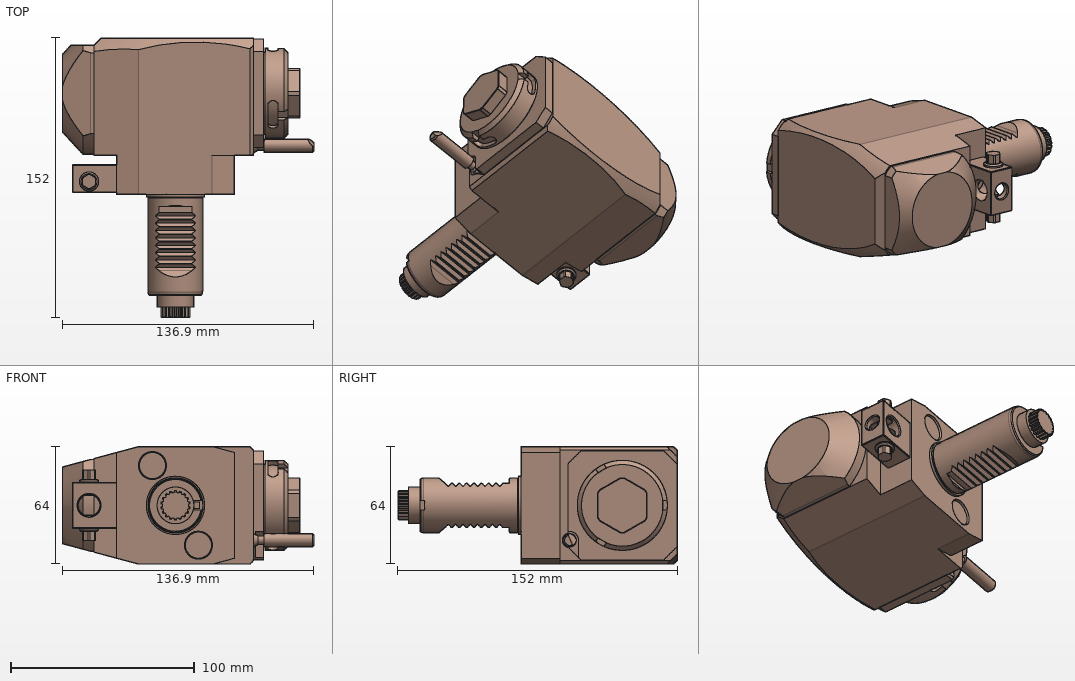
import cadquery as cq
import math


HOUSING_HALF_HEIGHT = 32.0
HOUSING_LEFT = -44.3
HOUSING_RIGHT = 42.4
HOUSING_FRONT = 21.2
HOUSING_BACK = 85.0
FOOT_HALF_WIDTH = 32.0
TAPER_START = 20.0
TAPER_SLOPE = math.tan(math.radians(15))
RIGHT_END_CHAMFER = 1.9
LEFT_BACK_CHAMFER = 3.8
BARREL_CENTER_X = 11.0
BARREL_RADIUS = 42.4
BARREL_CURVATURE_RADIUS = 190.0

PLUG_CIRCLE_RADIUS = 25.0
PLUG_ANGLES = (120, 300)
PLUG_DIAMETER = 15.2
PLUG_RECESS = 1.0
PLUG_RECESS_TAPER = 25

SPINDLE_Y = 55.0
CAP_LEFT = -61.5
CAP_FACE_RADIUS = 21.1
CAP_RADIUS = 33.3
CAP_CONE_END = -50.3
CAP_BACK = 81.2
CAP_STEP = 0.5

PLATE_THICKNESS = 5.5
PLATE_HALF_SIDE = 29.6
PLATE_CORNER_CHAMFER = 7.0
PIN_POCKET_RADIUS = 4.8
PIN_POCKET_WEB = 1.1

COLLAR_RADIUS = 22.4
NUT_START = 48.8
NUT_END = 61.3
NUT_RADIUS = 24.5
NUT_CHAMFER = 2.3
NUT_SLOT_CENTER_X = 53.0
NUT_SLOT_WIDTH = 5.6
NUT_SLOT_LENGTH = 17.4
NUT_SLOT_DEPTH = 2.5
NUT_GROOVE_WIDTH = 5.2
NUT_SLOT_FIRST_ANGLE = 30
NUT_SLOT_COUNT = 3
HEX_FLATS = 27.0
HEX_CORNER_DIAMETER = 30.0
HEX_END = 67.7
HEX_END_CHAMFER = 0.3

PIN_Y = 26.4
PIN_Z = -19.0
PIN_END = 75.38
PIN_RADIUS = 3.6
PIN_NECK_RADIUS = 2.4
PIN_FOOT_RADIUS = 4.0
PIN_NECK_START = 44.8
PIN_NECK_END = 48.2
PIN_TIP_CHAMFER = 0.8
PIN_TIP_BEVEL = 3.2
PIN_BEVEL_ANGLE = 24

BLOCK_LEFT = -56.1
BLOCK_FRONT = 1.0
BLOCK_BACK = 16.2
BLOCK_HALF_HEIGHT = 12.5
BLOCK_EDGE_CHAMFER = 0.4
BLOCK_HOLE_X = -47.0
CROSS_HOLE_RADIUS = 5.9
SIDE_HOLE_RADIUS = 4.3
SIDE_HOLE_END_X = -35.0
HOLE_CHAMFER = 0.6
COOLANT_DRILL_RADIUS = 1.3
COOLANT_DRILL_DEPTH = 2.0
BOLT_Y = 7.0
BOLT_TIP_Z = 5.3
BOLT_TIP_DIAMETER = 8.8
BOLT_TIP_CHAMFER = 0.5
BOLT_FLANGE_DIAMETER = 10.5
BOLT_FLANGE_TOP_DIAMETER = 8.6
BOLT_FLANGE_THICKNESS = 1.7
BOLT_HEX_FLATS = 7.1
BOLT_HEX_CORNER_DIAMETER = 7.7
BOLT_HEAD_TOP_Z = 19.2

SHANK_RADIUS = 15.0
SHANK_LENGTH = 55.0
COLLAR_RING_RADIUS = 15.85
COLLAR_RING_THICKNESS = 1.5
RING_CONE_LENGTH = 0.5
SHANK_LEAD_LENGTH = 1.9
SHANK_LEAD_STEP = 0.3
SHANK_END_CHAMFER = 0.6
NECK_RADIUS = 10.0
NECK_END = 61.3
SPLINE_END = 67.0
SPLINE_TIP_RADIUS = 8.0
SPLINE_ROOT_RADIUS = 7.0
SPLINE_TOOTH_COUNT = 18
SPLINE_TIP_CHAMFER = 0.6
SPLINE_ROOT_SHARE = 0.7
SPLINE_TIP_SHARE = 0.3
KEYWAY_WIDTH = 5.2
KEYWAY_DEPTH = 2.5
KEYWAY_POCKET_WIDTH = 3.6
KEYWAY_POCKET_END_X = 13.2
KEYWAY_POCKET_DEPTH = 2.0

TEETH_FLAT_Z = 12.1
TEETH_START = 6.6
TEETH_LEAD_IN = 0.7
TEETH_PITCH = 4.0
TEETH_COUNT = 8
FIRST_GROOVE = 11.65
GROOVE_DEPTH = 1.8
TEETH_RUN_OUT = 3.4


def extrude_xz(points, front, back):
    """Prism with an X-Z outline between two Y positions."""
    return cq.Workplane("XZ", origin=(0, front, 0)).polyline(points).close().extrude(front - back)


def revolve_about_x(points, y, z):
    """Body turned about an X-parallel axis; points are (x, radius)."""
    return cq.Workplane("XY", origin=(0, y, z)).polyline(points).close().revolve(360, (0, 0), (1, 0))


def box(x_range, y_range, z_range):
    """Rectangular block from (low, high) limits along each axis."""
    ranges = (x_range, y_range, z_range)
    size = [high - low for low, high in ranges]
    corner = [low for low, high in ranges]
    return cq.Workplane("XY").box(*size, centered=False).translate(tuple(corner))


def taper_height(distance):
    """Half height of the housing at a distance from the shank axis beyond the taper start."""
    return HOUSING_HALF_HEIGHT - (distance - TAPER_START) * TAPER_SLOPE


def mirrored_outline(upper_points):
    """Closed outline from its upper half, given from left to right."""
    return upper_points + [(x, -z) for x, z in reversed(upper_points)]


def make_housing():
    main = extrude_xz(
        mirrored_outline([
            (HOUSING_LEFT, taper_height(-HOUSING_LEFT)),
            (-TAPER_START, HOUSING_HALF_HEIGHT),
            (HOUSING_RIGHT - RIGHT_END_CHAMFER, HOUSING_HALF_HEIGHT),
            (HOUSING_RIGHT, HOUSING_HALF_HEIGHT - RIGHT_END_CHAMFER),
        ]),
        HOUSING_FRONT,
        HOUSING_BACK,
    )
    main = main.edges("<X and >Y").chamfer(LEFT_BACK_CHAMFER)
    main = main.intersect(make_barrel())
    foot = extrude_xz(
        mirrored_outline([
            (-FOOT_HALF_WIDTH, taper_height(FOOT_HALF_WIDTH)),
            (-TAPER_START, HOUSING_HALF_HEIGHT),
            (TAPER_START, HOUSING_HALF_HEIGHT),
            (FOOT_HALF_WIDTH, taper_height(FOOT_HALF_WIDTH)),
        ]),
        0,
        HOUSING_FRONT,
    )
    return main.union(foot)


def make_barrel():
    """Barrel about the spindle that rounds the rear half, joined to the unrounded front half."""
    def barrel_radius(x):
        offset = x - BARREL_CENTER_X
        sag = BARREL_CURVATURE_RADIUS - math.sqrt(BARREL_CURVATURE_RADIUS**2 - offset**2)
        return BARREL_RADIUS - sag

    barrel = (
        cq.Workplane("XY", origin=(0, SPINDLE_Y, 0))
        .moveTo(HOUSING_LEFT, 0)
        .lineTo(HOUSING_LEFT, barrel_radius(HOUSING_LEFT))
        .threePointArc((BARREL_CENTER_X, BARREL_RADIUS), (HOUSING_RIGHT, barrel_radius(HOUSING_RIGHT)))
        .lineTo(HOUSING_RIGHT, 0)
        .close()
        .revolve(360, (0, 0), (1, 0))
    )
    front_half = box(
        (HOUSING_LEFT, HOUSING_RIGHT),
        (HOUSING_FRONT, SPINDLE_Y),
        (-HOUSING_HALF_HEIGHT, HOUSING_HALF_HEIGHT),
    )
    return barrel.union(front_half)


def cut_plug_recesses(part):
    for angle in PLUG_ANGLES:
        x = PLUG_CIRCLE_RADIUS * math.cos(math.radians(angle))
        z = PLUG_CIRCLE_RADIUS * math.sin(math.radians(angle))
        recess = (
            cq.Workplane("XZ")
            .center(x, z)
            .circle(PLUG_DIAMETER / 2)
            .extrude(-PLUG_RECESS, taper=PLUG_RECESS_TAPER)
        )
        part = part.cut(recess)
    return part


def make_cap():
    """Turned rear cap, flattened by the tapered sides and the back plane."""
    turned = revolve_about_x(
        [
            (CAP_LEFT, 0),
            (CAP_LEFT, CAP_FACE_RADIUS),
            (CAP_CONE_END, CAP_RADIUS),
            (HOUSING_LEFT, CAP_RADIUS),
            (HOUSING_LEFT, 0),
        ],
        SPINDLE_Y,
        0,
    )
    edge_height = taper_height(-HOUSING_LEFT) - CAP_STEP
    edge_start = HOUSING_LEFT - CAP_STEP / TAPER_SLOPE
    envelope = extrude_xz(
        mirrored_outline([
            (CAP_LEFT, taper_height(-CAP_LEFT)),
            (edge_start, edge_height),
            (HOUSING_LEFT, edge_height),
        ]),
        SPINDLE_Y - CAP_RADIUS,
        CAP_BACK,
    )
    return turned.intersect(envelope)


def make_plate():
    side = 2 * PLATE_HALF_SIDE
    plate = (
        cq.Workplane("YZ", origin=(HOUSING_RIGHT, SPINDLE_Y, 0))
        .rect(side, side)
        .extrude(PLATE_THICKNESS)
        .edges("|X")
        .chamfer(PLATE_CORNER_CHAMFER)
    )
    return plate.cut(make_pin_pocket())


def make_pin_pocket():
    """Round clearance about the pin, open towards -Y and -Z, above a thin web next to the housing."""
    web_face = HOUSING_RIGHT + PIN_POCKET_WEB
    plate_end = HOUSING_RIGHT + PLATE_THICKNESS
    front = SPINDLE_Y - PLATE_HALF_SIDE
    round_part = (
        cq.Workplane("YZ", origin=(web_face, PIN_Y, PIN_Z))
        .circle(PIN_POCKET_RADIUS)
        .extrude(plate_end - web_face)
    )
    lower_part = box(
        (web_face, plate_end),
        (front, PIN_Y + PIN_POCKET_RADIUS),
        (-PLATE_HALF_SIDE, PIN_Z),
    )
    return round_part.union(lower_part)


def make_nut_slot(angle):
    """Rounded slot of even depth in the nut rim with a narrower flat groove running out to the nut face."""
    slot_floor = NUT_RADIUS - NUT_SLOT_DEPTH
    core = revolve_about_x(
        [(HOUSING_RIGHT, 0), (HOUSING_RIGHT, slot_floor), (NUT_END, slot_floor), (NUT_END, 0)],
        SPINDLE_Y,
        0,
    )
    slot_plane = cq.Workplane("XY", origin=(NUT_SLOT_CENTER_X, SPINDLE_Y, 0))
    slot = slot_plane.slot2D(NUT_SLOT_LENGTH, NUT_SLOT_WIDTH, 90).extrude(2 * NUT_RADIUS).cut(core)
    groove_length = NUT_END - NUT_SLOT_CENTER_X
    groove_plane = cq.Workplane("XY", origin=(NUT_SLOT_CENTER_X, SPINDLE_Y, slot_floor))
    groove_outline = groove_plane.center(groove_length / 2, 0).rect(groove_length, NUT_GROOVE_WIDTH)
    groove = groove_outline.extrude(NUT_RADIUS)
    axis_start = (0, SPINDLE_Y, 0)
    axis_end = (1, SPINDLE_Y, 0)
    return slot.union(groove).rotate(axis_start, axis_end, angle)


def make_nut():
    nut = revolve_about_x(
        [
            (HOUSING_RIGHT, 0),
            (HOUSING_RIGHT, COLLAR_RADIUS),
            (NUT_START, COLLAR_RADIUS),
            (NUT_START, NUT_RADIUS),
            (NUT_END - NUT_CHAMFER, NUT_RADIUS),
            (NUT_END, NUT_RADIUS - NUT_CHAMFER),
            (NUT_END, 0),
        ],
        SPINDLE_Y,
        0,
    )
    for index in range(NUT_SLOT_COUNT):
        nut = nut.cut(make_nut_slot(NUT_SLOT_FIRST_ANGLE + index * 360 / NUT_SLOT_COUNT))
    return nut


def hexagon_with_cut_corners(plane, flats, corner_diameter, length):
    """Hexagonal prism whose corners are turned down; one corner pair lies on the plane's local Y."""
    hexagon = plane.transformed(rotate=(0, 0, 90)).polygon(6, flats / math.cos(math.radians(30)))
    return hexagon.extrude(length).intersect(plane.circle(corner_diameter / 2).extrude(length))


def make_spindle_hexagon():
    plane = cq.Workplane("YZ", origin=(NUT_END, SPINDLE_Y, 0))
    hexagon = hexagon_with_cut_corners(plane, HEX_FLATS, HEX_CORNER_DIAMETER, HEX_END - NUT_END)
    return hexagon.faces(">X").chamfer(HEX_END_CHAMFER)


def make_pin():
    pin = revolve_about_x(
        [
            (HOUSING_RIGHT, 0),
            (HOUSING_RIGHT, PIN_FOOT_RADIUS),
            (PIN_NECK_START, PIN_NECK_RADIUS),
            (PIN_NECK_END, PIN_NECK_RADIUS),
            (PIN_NECK_END, PIN_RADIUS),
            (PIN_END - PIN_TIP_CHAMFER, PIN_RADIUS),
            (PIN_END, PIN_RADIUS - PIN_TIP_CHAMFER),
            (PIN_END, 0),
        ],
        PIN_Y,
        PIN_Z,
    )
    back = PIN_Y + PIN_RADIUS
    bevel = (
        cq.Workplane("XY", origin=(0, 0, PIN_Z - PIN_RADIUS))
        .polyline([(PIN_END - PIN_TIP_BEVEL, back), (PIN_END, back - PIN_TIP_BEVEL), (PIN_END, back)])
        .close()
        .extrude(2 * PIN_RADIUS)
        .rotate((0, PIN_Y, PIN_Z), (1, PIN_Y, PIN_Z), PIN_BEVEL_ANGLE)
    )
    return pin.cut(bevel)


def make_coolant_block():
    middle_y = (BLOCK_FRONT + BLOCK_BACK) / 2
    block = box(
        (BLOCK_LEFT, -FOOT_HALF_WIDTH),
        (BLOCK_FRONT, BLOCK_BACK),
        (-BLOCK_HALF_HEIGHT, BLOCK_HALF_HEIGHT),
    )
    block = block.edges("|X or <X").chamfer(BLOCK_EDGE_CHAMFER)
    cross_hole = (
        cq.Workplane("XZ", origin=(BLOCK_HOLE_X, BLOCK_BACK, 0))
        .circle(CROSS_HOLE_RADIUS)
        .extrude(BLOCK_BACK - BLOCK_FRONT)
    )
    cross_chamfer = (
        cq.Workplane("XZ", origin=(BLOCK_HOLE_X, BLOCK_FRONT, 0))
        .circle(CROSS_HOLE_RADIUS + HOLE_CHAMFER)
        .extrude(-HOLE_CHAMFER, taper=45)
    )
    drill_end = SIDE_HOLE_END_X + COOLANT_DRILL_DEPTH
    side_hole = revolve_about_x(
        [
            (BLOCK_LEFT, 0),
            (BLOCK_LEFT, SIDE_HOLE_RADIUS + HOLE_CHAMFER),
            (BLOCK_LEFT + HOLE_CHAMFER, SIDE_HOLE_RADIUS),
            (SIDE_HOLE_END_X, SIDE_HOLE_RADIUS),
            (SIDE_HOLE_END_X, COOLANT_DRILL_RADIUS),
            (drill_end, COOLANT_DRILL_RADIUS),
            (drill_end, 0),
        ],
        middle_y,
        0,
    )
    block = block.cut(cross_hole).cut(cross_chamfer).cut(side_hole)
    upper_bolt = make_bolt()
    return block.union(upper_bolt).union(upper_bolt.mirror("XY"))


def make_bolt():
    """Upper flanged bolt, with its tip reaching into the cross hole."""
    seat = cq.Workplane("XY", origin=(BLOCK_HOLE_X, BOLT_Y, BLOCK_HALF_HEIGHT))
    straight_height = BOLT_FLANGE_THICKNESS / 2
    flange = (
        seat.circle(BOLT_FLANGE_DIAMETER / 2)
        .extrude(straight_height)
        .faces(">Z")
        .workplane()
        .circle(BOLT_FLANGE_DIAMETER / 2)
        .workplane(offset=BOLT_FLANGE_THICKNESS - straight_height)
        .circle(BOLT_FLANGE_TOP_DIAMETER / 2)
        .loft()
    )
    head_height = BOLT_HEAD_TOP_Z - BLOCK_HALF_HEIGHT
    head = hexagon_with_cut_corners(seat, BOLT_HEX_FLATS, BOLT_HEX_CORNER_DIAMETER, head_height)
    tip = (
        cq.Workplane("XY", origin=(BLOCK_HOLE_X, BOLT_Y, BOLT_TIP_Z))
        .circle(BOLT_TIP_DIAMETER / 2)
        .extrude(BLOCK_HALF_HEIGHT - BOLT_TIP_Z)
        .faces("<Z")
        .chamfer(BOLT_TIP_CHAMFER)
    )
    return flange.union(head).union(tip)


def make_shank():
    lead_end_radius = SHANK_RADIUS - SHANK_LEAD_STEP
    profile = [
        (0, 0),
        (COLLAR_RING_RADIUS, 0),
        (COLLAR_RING_RADIUS, -COLLAR_RING_THICKNESS),
        (SHANK_RADIUS - RING_CONE_LENGTH / 2, -COLLAR_RING_THICKNESS),
        (SHANK_RADIUS, -COLLAR_RING_THICKNESS - RING_CONE_LENGTH),
        (SHANK_RADIUS, SHANK_LEAD_LENGTH - SHANK_LENGTH),
        (lead_end_radius, SHANK_END_CHAMFER - SHANK_LENGTH),
        (lead_end_radius - SHANK_END_CHAMFER, -SHANK_LENGTH),
        (NECK_RADIUS, -SHANK_LENGTH),
        (NECK_RADIUS, -NECK_END),
        (0, -NECK_END),
    ]
    shank = cq.Workplane("XY").polyline(profile).close().revolve(360, (0, 0), (0, 1))
    teeth_cut = make_teeth_cut()
    return shank.cut(teeth_cut).cut(teeth_cut.mirror("XY")).cut(make_keyway()).union(make_spline())


def make_teeth_cut():
    """Cutter with a flat and 45 degree V grooves that forms the clamping teeth on the +Z side."""
    teeth_end = FIRST_GROOVE + (TEETH_COUNT - 1) * TEETH_PITCH
    outline = [
        (-TEETH_START + TEETH_LEAD_IN, SHANK_RADIUS),
        (-TEETH_START, SHANK_RADIUS - TEETH_LEAD_IN),
        (-TEETH_START, TEETH_FLAT_Z),
    ]
    for index in range(TEETH_COUNT):
        groove = -FIRST_GROOVE - index * TEETH_PITCH
        outline.append((groove + GROOVE_DEPTH, TEETH_FLAT_Z))
        outline.append((groove, TEETH_FLAT_Z - GROOVE_DEPTH))
        outline.append((groove - GROOVE_DEPTH, TEETH_FLAT_Z))
    outline.append((-teeth_end - GROOVE_DEPTH - TEETH_RUN_OUT, SHANK_RADIUS))
    return cq.Workplane("YZ").polyline(outline).close().extrude(SHANK_RADIUS, both=True)


def make_keyway():
    """Slot in the shank end on the +X side with a narrower, deeper pocket next to the neck."""
    floor = KEYWAY_DEPTH - SHANK_LENGTH
    slot = box(
        (NECK_RADIUS, SHANK_RADIUS),
        (-SHANK_LENGTH, floor),
        (-KEYWAY_WIDTH / 2, KEYWAY_WIDTH / 2),
    )
    pocket = box(
        (NECK_RADIUS, KEYWAY_POCKET_END_X),
        (floor, floor + KEYWAY_POCKET_DEPTH),
        (-KEYWAY_POCKET_WIDTH / 2, KEYWAY_POCKET_WIDTH / 2),
    )
    return slot.union(pocket)


def make_spline():
    length = SPLINE_END - NECK_END
    tooth_pitch = 360 / SPLINE_TOOTH_COUNT
    root_half_angle = tooth_pitch * SPLINE_ROOT_SHARE / 2
    tip_half_angle = tooth_pitch * SPLINE_TIP_SHARE / 2

    def polar(radius, angle):
        return (radius * math.cos(math.radians(angle)), radius * math.sin(math.radians(angle)))

    outline = []
    for index in range(SPLINE_TOOTH_COUNT):
        middle = 90 + index * tooth_pitch
        outline.append(polar(SPLINE_ROOT_RADIUS, middle - root_half_angle))
        outline.append(polar(SPLINE_TIP_RADIUS, middle - tip_half_angle))
        outline.append(polar(SPLINE_TIP_RADIUS, middle + tip_half_angle))
        outline.append(polar(SPLINE_ROOT_RADIUS, middle + root_half_angle))
    toothed = extrude_xz(outline, -NECK_END, -NECK_END - length)
    chamfered_blank = (
        cq.Workplane("XZ", origin=(0, -NECK_END, 0))
        .circle(SPLINE_TIP_RADIUS)
        .extrude(length)
        .faces("<Y")
        .chamfer(SPLINE_TIP_CHAMFER)
    )
    return toothed.intersect(chamfered_blank)


result = cut_plug_recesses(make_housing())
for feature in (
    make_cap(),
    make_plate(),
    make_nut(),
    make_spindle_hexagon(),
    make_pin(),
    make_coolant_block(),
    make_shank(),
):
    result = result.union(feature)